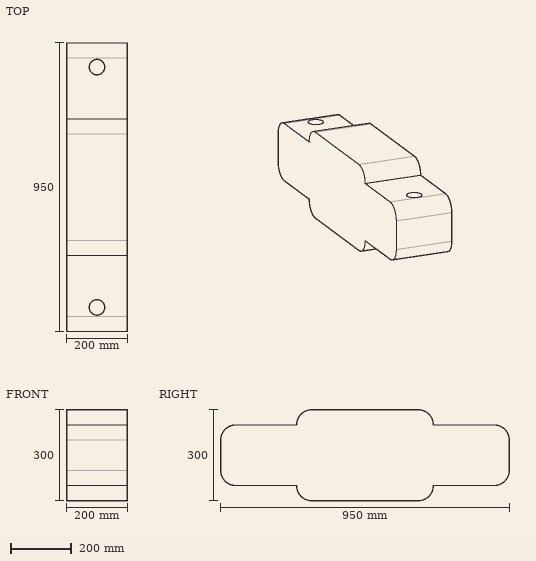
import cadquery as cq

length = 950.0
width = 200.0
height = 300.0

block_length = 450.0
bar_height = height * 2 / 3
corner_radius = (height - bar_height) / 2

hole_diameter = 50.0
hole_spacing = 790.0


def rounded_bar(size_y, size_z):
    """Bar across the full width, with its four edges along X rounded."""
    return cq.Workplane("XY").box(width, size_y, size_z).edges("|X").fillet(corner_radius)


body = rounded_bar(length, bar_height).union(rounded_bar(block_length, height))

hole_positions = [(0, -hole_spacing / 2), (0, hole_spacing / 2)]
holes = (
    cq.Workplane("XY")
    .pushPoints(hole_positions)
    .circle(hole_diameter / 2)
    .extrude(height, both=True)
)

result = body.cut(holes)